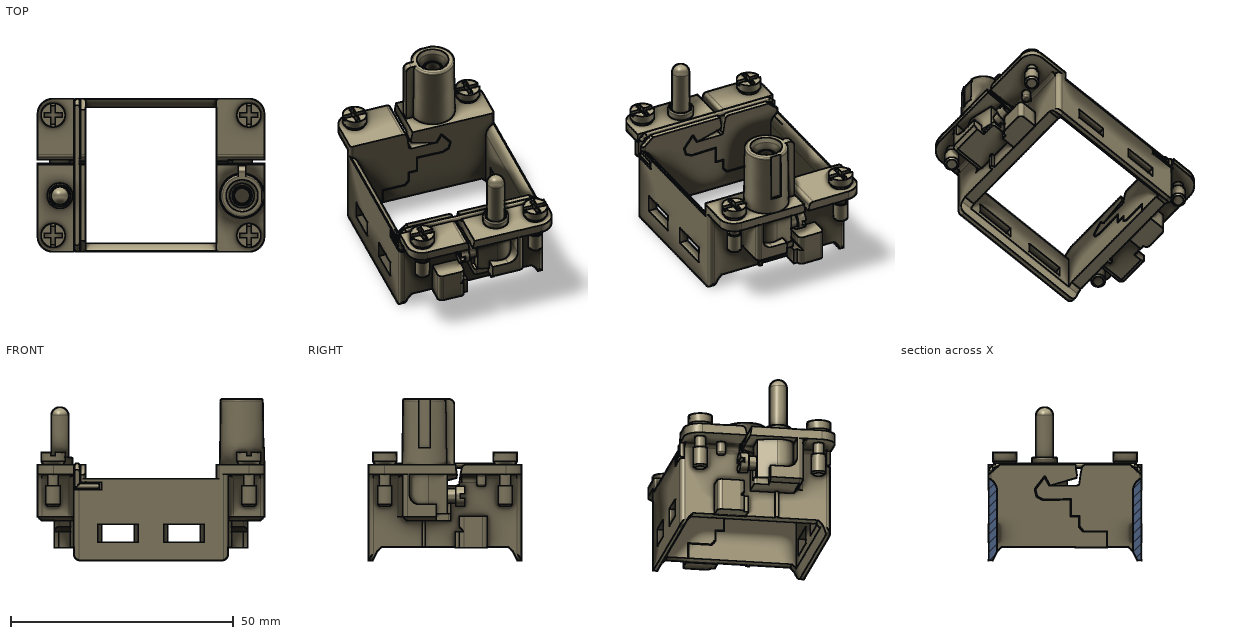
import cadquery as cq
import math

LENGTH = 51.0
WIDTH = 34.4
TOTAL_HEIGHT = 36.3
FRAME_LENGTH = 34.7
OPENING_LENGTH = 29.4
FLANGE_TOP = 21.5
FLANGE_THICKNESS = 2.1
SIDE_WALL_TOP = 18.4
SIDE_WALL_THICKNESS = 2.0
SIDE_WALL_FOOT = 0.95
FOOT_TAPER_HEIGHT = 2.05
ROLL_HEIGHT = 2.75
RIM_THICKNESS = 0.2
END_WALL_BOTTOM = 3.0
END_WALL_HALF_SPAN = 14.3
FRAME_CORNER_RADIUS = 1.05
FRAME_BOTTOM_RADIUS = 1.55
FLANGE_CORNER_RADIUS = 3.55
FLANGE_INNER_RADIUS = 0.55

END_FACE = LENGTH / 2
SIDE_FACE = WIDTH / 2
WALL_FACE = FRAME_LENGTH / 2
INNER_FACE = OPENING_LENGTH / 2
FLANGE_BOTTOM = FLANGE_TOP - FLANGE_THICKNESS
CLEAR = 5.1

WINDOW_X = 7.4
FRONT_WINDOW_LENGTH = 9.15
BACK_WINDOW_LENGTH = 7.25
WINDOW_BOTTOM = 4.15
WINDOW_TOP = 8.1

BODY_FRONT = -9.55
BODY_BACK = 0.55
BODY_BOTTOM = 9.0
BODY_CORNER_RADIUS = 1.0
BODY_CHAMFER = 0.9
POCKET_FRONT = -8.0
POCKET_FLOOR = 12.6
POCKET_FLOOR_RADIUS = 2.35
POCKET_STEP_Y = -2.0
POCKET_STEP_FLOOR = 10.5
BARREL_RADIUS = 3.4
BARREL_TANGENT_ANGLE = 14.7
FOOT_BACK = 1.3
FOOT_ROUND = 0.5
FOOT_TOP = 14.5

RIB_FRONT = -5.1
RIB_THICKNESS = 0.7
RIB_HEIGHT = 0.75

LATCH_REACH = 21.75
LATCH_FRONT = 3.2
LATCH_BACK = 9.45
LATCH_BOTTOM = 2.85
LATCH_TOP = 9.95
LATCH_CORNER_RADIUS = 1.0
LIP_FRONT = 2.3
NOTCH_TOP = 7.6
NOTCH_DEPTH = 0.9
NOTCH_HEIGHT = 1.05

GAP_FRONT = 2.35
GAP_ROUND_START = 4.7
GAP_ROUND_MID = (4.05, 21.25)
GAP_BACK_SIDE = [(3.7, 20.7), (3.45, FLANGE_BOTTOM), (3.15, 17.1), (2.65, 16.85)]
GAP_FRONT_SIDE = [(2.65, 18.55), (2.7, 19.3)]
GAP_TIP = (-3.45, 16.85)

SEAM_DIAMETER = 0.2
SEAM = [
    GAP_TIP,
    (-4.55, 18.85),
    (-6.75, 16.0),
    (-6.3, 14.4),
    (-4.9, 13.6),
    (FOOT_BACK, 13.75),
    (FOOT_BACK, LATCH_TOP),
    (LATCH_FRONT, LATCH_TOP),
    (LATCH_FRONT, NOTCH_TOP),
    (LATCH_FRONT + NOTCH_DEPTH, NOTCH_TOP - NOTCH_HEIGHT),
    (LATCH_BACK, NOTCH_TOP - NOTCH_HEIGHT),
    (LATCH_BACK, END_WALL_BOTTOM),
]

BEND_RADIUS = 0.85
FOOT_BEND_RADIUS = 1.05
GUSSET_RADIUS = 1.9
GUSSET_FRONT = 3.7
PEG_DIAMETER = 2.0
PEG_X = 18.85
PEG_Y = 8.15
PEG_BOTTOM = 16.7
PEG_ROUND = 0.5

SCREW_X = 22.0
SCREW_Y = 13.5
SCREW_TOP = 24.3
HEAD_DIAMETER = 5.4
HEAD_BASE_DIAMETER = 4.5
HEAD_BOTTOM = 22.35
NECK_DIAMETER = 2.4
THREAD_DIAMETER = 3.2
THREAD_TOP = 16.8
THREAD_BOTTOM = 12.25
THREAD_CHAMFER = 0.4
SLOT_WIDTH = 0.95
SLOT_DEPTH = 0.7
CROSS_LENGTH = 4.1
CROSS_DEPTH = 1.2

CLAMP_X = 20.5
CLAMP_Z = 14.5
CLAMP_HEAD_DIAMETER = 4.5
CLAMP_HEAD_FRONT = 2.45
CLAMP_HEAD_BACK = 4.4
CLAMP_SLOT_DEPTH = 0.9

GUIDE_X = 20.45
GUIDE_Y = -4.6
PIN_DIAMETER = 4.0
PIN_TOP = 34.5
DOME_HEIGHT = 1.8
COLLAR_DIAMETER = 5.7
COLLAR_TOP = 23.15
COLLAR_FILLET = 0.3
COLLAR_RECESS_DIAMETER = 4.8
COLLAR_RECESS_DEPTH = 0.4

SOCKET_BASE_RADIUS = 5.05
SOCKET_TOP_RADIUS = 4.85
SOCKET_RIM_FILLET = 0.4
MOUTH_RADIUS = 3.55
MOUTH_DEPTH = 0.95
BORE_TOP_RADIUS = 3.15
BORE_BOTTOM_RADIUS = 2.75
BORE_DEPTH = 4.1
SLEEVE_RADIUS = 2.25
SLEEVE_CHAMFER = 0.2
SLEEVE_DEPTH = 2.25
HOLE_RADIUS = 1.75
HOLE_FLOOR = 24.5
FLAT_DEPTH = 0.6
FLAT_WIDTH = 2.5
FLAT_BOTTOM = 25.35
KEY_WIDTH = 1.7
KEY_BACK = 2.1
KEY_FILLET = 1.3

WIRE_DIAMETER = 1.1
WIRE_X = -16.6
WIRE_TOP = 21.9
WIRE_LEG_Z = 16.75
WIRE_LEG_END = -11.65
WIRE_SLOT_END = -11.05
WIRE_SLOT_WIDTH = 1.75
WIRE_BEVEL = 1.1
GROOVE_WIDTH = 1.55
RELIEF_LENGTH = 2.55
RELIEF_DEPTH = 2.25
WIRE_BITE = 0.15

WIRE_RADIUS = WIRE_DIAMETER / 2
WIRE_Y = SIDE_FACE - WIRE_RADIUS
WIRE_Z = WIRE_TOP - WIRE_RADIUS


def box(x0, x1, y0, y1, z0, z1):
    """Axis-aligned block between two opposite corners."""
    return cq.Workplane("XY").box(x1 - x0, y1 - y0, z1 - z0, centered=False).translate((x0, y0, z0))


def rod(start, end, diameter):
    """Round bar between two points."""
    axis = cq.Vector(*end) - cq.Vector(*start)
    return cq.Workplane(obj=cq.Solid.makeCylinder(diameter / 2, axis.Length, cq.Vector(*start), axis))


def both_ends(shape):
    """The shape on the -X end together with its mirror image on the +X end."""
    return shape.union(shape.mirror("YZ"))


def frame():
    ring = box(-WALL_FACE, WALL_FACE, -SIDE_FACE, SIDE_FACE, 0, FLANGE_TOP)
    ring = ring.edges("|Y and <Z").fillet(FRAME_BOTTOM_RADIUS)
    rounded = box(-WALL_FACE, WALL_FACE, -SIDE_FACE, SIDE_FACE, 0, FLANGE_TOP)
    ring = ring.intersect(rounded.edges("|Z").fillet(FRAME_CORNER_RADIUS))

    foot_y = SIDE_FACE - SIDE_WALL_FOOT
    wall_y = SIDE_FACE - SIDE_WALL_THICKNESS
    rim_y = SIDE_FACE - RIM_THICKNESS
    roll_width = rim_y - wall_y
    roll_radius = (roll_width**2 + ROLL_HEIGHT**2) / (2 * roll_width)
    roll_start = SIDE_WALL_TOP - ROLL_HEIGHT
    half_turn = math.asin(ROLL_HEIGHT / roll_radius) / 2
    roll_mid_y = wall_y + roll_radius * (1 - math.cos(half_turn))
    roll_mid_z = roll_start + roll_radius * math.sin(half_turn)
    opening = (
        cq.Workplane("YZ")
        .lineTo(foot_y, 0)
        .lineTo(wall_y, FOOT_TAPER_HEIGHT)
        .lineTo(wall_y, roll_start)
        .threePointArc((roll_mid_y, roll_mid_z), (rim_y, SIDE_WALL_TOP))
        .lineTo(SIDE_FACE + CLEAR, SIDE_WALL_TOP)
        .lineTo(SIDE_FACE + CLEAR, FLANGE_TOP + CLEAR)
        .lineTo(0, FLANGE_TOP + CLEAR)
        .close()
        .extrude(INNER_FACE, both=True)
    )
    underside = (
        cq.Workplane("YZ")
        .lineTo(foot_y, 0)
        .lineTo(wall_y, FOOT_TAPER_HEIGHT)
        .lineTo(END_WALL_HALF_SPAN, END_WALL_BOTTOM)
        .lineTo(0, END_WALL_BOTTOM)
        .close()
        .extrude(LENGTH, both=True)
    )
    for cutter in (opening, underside):
        ring = ring.cut(cutter).cut(cutter.mirror("XZ"))
    return ring


def windows():
    """Two rectangular windows in each side wall, the longer pair in the -Y wall."""
    half_front = FRONT_WINDOW_LENGTH / 2
    half_back = BACK_WINDOW_LENGTH / 2
    front = box(-half_front, half_front, -WIDTH, 0, WINDOW_BOTTOM, WINDOW_TOP)
    back = box(-half_back, half_back, 0, WIDTH, WINDOW_BOTTOM, WINDOW_TOP)
    return both_ends(front.union(back).translate((-WINDOW_X, 0, 0)))


def flange():
    plate = box(-END_FACE, -INNER_FACE, -SIDE_FACE, SIDE_FACE, FLANGE_BOTTOM, FLANGE_TOP)
    return plate.edges("|Z and <X").fillet(FLANGE_CORNER_RADIUS)


def bend(radius, length):
    """Concave fillet strip along +Y, in the corner below and beside the origin on its -X side."""
    reach = radius * (1 - math.sqrt(0.5))
    return (
        cq.Workplane("XZ")
        .lineTo(-radius, 0)
        .threePointArc((-reach, -reach), (0, -radius))
        .close()
        .extrude(-length)
    )


def wall_bend(radius, y0, y1):
    """Fillet strip between the flange underside and the end wall."""
    return bend(radius, y1 - y0).translate((-WALL_FACE, y0, FLANGE_BOTTOM))


def corner_relief():
    """Waste outside the rounded inner corners of the flanges, above the side walls."""
    x0 = -INNER_FACE - FLANGE_INNER_RADIUS
    y1 = -SIDE_FACE + FLANGE_INNER_RADIUS
    waste = box(x0, -INNER_FACE, -SIDE_FACE, y1, SIDE_WALL_TOP, FLANGE_TOP)
    waste = waste.cut(rod((x0, y1, SIDE_WALL_TOP), (x0, y1, FLANGE_TOP), 2 * FLANGE_INNER_RADIUS))
    pair = both_ends(waste)
    return pair.union(pair.mirror("XZ"))


def flange_gap():
    """Split across the flange that narrows to a wedge inside the end wall."""
    outline = (
        cq.Workplane("YZ")
        .moveTo(GAP_FRONT, FLANGE_TOP)
        .lineTo(GAP_ROUND_START, FLANGE_TOP)
        .threePointArc(GAP_ROUND_MID, GAP_BACK_SIDE[0])
    )
    for corner in GAP_BACK_SIDE[1:] + [GAP_TIP] + GAP_FRONT_SIDE:
        outline = outline.lineTo(*corner)
    outline = outline.close()
    return outline.extrude(LENGTH, both=True)


def seam():
    """Fine groove tracing the seam on the inner face of the end wall."""
    grooves = cq.Workplane("XY")
    for (y0, z0), (y1, z1) in zip(SEAM, SEAM[1:]):
        grooves = grooves.add(rod((-INNER_FACE, y0, z0), (-INNER_FACE, y1, z1), SEAM_DIAMETER))
    return grooves.combine()


def body():
    """Housing under the flange whose pocket, open to the outer end and to +Y, bares a round barrel."""
    block = box(-END_FACE, -WALL_FACE, BODY_FRONT, BODY_BACK, BODY_BOTTOM, FLANGE_BOTTOM)
    block = block.edges("|Z and <X and <Y").fillet(BODY_CORNER_RADIUS)
    block = block.faces("<Z").edges("<X or <Y").chamfer(BODY_CHAMFER)

    pocket = box(-END_FACE, -GUIDE_X, POCKET_FRONT, BODY_BACK, POCKET_FLOOR, FLANGE_BOTTOM)
    pocket = pocket.edges("|X and <Y and <Z").fillet(POCKET_FLOOR_RADIUS)
    pocket = pocket.union(box(-END_FACE, -GUIDE_X, POCKET_STEP_Y, BODY_BACK, 0, FLANGE_BOTTOM))

    angle = math.radians(BARREL_TANGENT_ANGLE)
    tangent_x = -GUIDE_X - BARREL_RADIUS * math.cos(angle)
    tangent_y = GUIDE_Y + BARREL_RADIUS * math.sin(angle)
    plane_end_x = tangent_x + (BODY_BACK - tangent_y) * math.tan(angle)
    core_outline = [
        (-GUIDE_X, GUIDE_Y),
        (tangent_x, tangent_y),
        (plane_end_x, BODY_BACK),
        (-WALL_FACE, BODY_BACK),
        (-WALL_FACE, GUIDE_Y),
    ]
    core_height = FLANGE_BOTTOM - POCKET_STEP_FLOOR
    core = cq.Workplane("XY").polyline(core_outline).close().extrude(core_height)
    barrel = cq.Workplane("XY").center(-GUIDE_X, GUIDE_Y).circle(BARREL_RADIUS).extrude(core_height)
    core = core.union(barrel).translate((0, 0, POCKET_STEP_FLOOR))
    room = box(-END_FACE, -WALL_FACE, POCKET_FRONT, BODY_BACK, POCKET_STEP_FLOOR, FLANGE_BOTTOM)

    foot = box(plane_end_x, -WALL_FACE, POCKET_STEP_Y, FOOT_BACK, BODY_BOTTOM, POCKET_STEP_FLOOR)
    plate = box(-GUIDE_X, -WALL_FACE, POCKET_STEP_Y, FOOT_BACK, BODY_BOTTOM, FOOT_TOP)
    foot = foot.union(plate).edges("|Z and >Y and <X").fillet(FOOT_ROUND)
    rib_back = RIB_FRONT + RIB_THICKNESS
    rib = box(-WALL_FACE - RIB_HEIGHT, -WALL_FACE, RIB_FRONT, rib_back, END_WALL_BOTTOM, BODY_BOTTOM)

    side_bend = bend(FOOT_BEND_RADIUS, FLANGE_BOTTOM - BODY_BOTTOM - BODY_CHAMFER)
    side_bend = side_bend.rotate((0, 0, 0), (1, 0, 0), -90).translate((-WALL_FACE, BODY_FRONT, FLANGE_BOTTOM))
    top_bend = bend(BEND_RADIUS, END_FACE - WALL_FACE - BODY_CORNER_RADIUS)
    top_bend = top_bend.rotate((0, 0, 0), (0, 0, 1), 90).translate((-WALL_FACE, BODY_FRONT, FLANGE_BOTTOM))

    housing = block.cut(pocket).union(core.intersect(room))
    for part in (foot, rib, side_bend, top_bend):
        housing = housing.union(part)
    return housing


def latch():
    """Latch block with a slanted notch above its lower lip."""
    block = box(-LATCH_REACH, -WALL_FACE, LATCH_FRONT, LATCH_BACK, LATCH_BOTTOM, LATCH_TOP)
    block = block.edges("|Z and <X").fillet(LATCH_CORNER_RADIUS)
    lip_x = LATCH_CORNER_RADIUS - LATCH_REACH
    lip_back = LATCH_FRONT + LATCH_CORNER_RADIUS
    block = block.union(box(lip_x, -WALL_FACE, LIP_FRONT, lip_back, LATCH_BOTTOM, NOTCH_TOP))
    notch_bottom = NOTCH_TOP - NOTCH_HEIGHT
    notch = (
        cq.Workplane("YZ")
        .moveTo(LIP_FRONT, notch_bottom)
        .lineTo(LATCH_FRONT + NOTCH_DEPTH, notch_bottom)
        .lineTo(LATCH_FRONT, NOTCH_TOP)
        .lineTo(LIP_FRONT, NOTCH_TOP)
        .close()
        .extrude(-LENGTH)
    )
    return block.cut(notch)


def peg():
    pin = rod((-PEG_X, PEG_Y, PEG_BOTTOM), (-PEG_X, PEG_Y, FLANGE_BOTTOM), PEG_DIAMETER)
    return pin.faces("<Z").fillet(PEG_ROUND)


def clamp_screw():
    back = (-CLAMP_X, CLAMP_HEAD_BACK, CLAMP_Z)
    shank = rod((-CLAMP_X, GUIDE_Y, CLAMP_Z), back, THREAD_DIAMETER)
    head = rod((-CLAMP_X, CLAMP_HEAD_FRONT, CLAMP_Z), back, CLAMP_HEAD_DIAMETER)
    slot_bottom = CLAMP_Z - SLOT_WIDTH / 2
    slot_front = CLAMP_HEAD_BACK - CLAMP_SLOT_DEPTH
    slot = box(-LENGTH, 0, slot_front, CLAMP_HEAD_BACK, slot_bottom, slot_bottom + SLOT_WIDTH)
    return shank.union(head).cut(slot)


def corner_screw():
    """Slotted cross-recess screw standing through the flange, axis at the origin."""
    profile = [
        (0, THREAD_BOTTOM),
        (THREAD_DIAMETER / 2 - THREAD_CHAMFER, THREAD_BOTTOM),
        (THREAD_DIAMETER / 2, THREAD_BOTTOM + THREAD_CHAMFER),
        (THREAD_DIAMETER / 2, THREAD_TOP),
        (NECK_DIAMETER / 2, THREAD_TOP),
        (NECK_DIAMETER / 2, FLANGE_TOP),
        (HEAD_BASE_DIAMETER / 2, FLANGE_TOP),
        (HEAD_DIAMETER / 2, HEAD_BOTTOM),
        (HEAD_DIAMETER / 2, SCREW_TOP),
        (0, SCREW_TOP),
    ]
    screw = cq.Workplane("XZ").polyline(profile).close().revolve(360, (0, 0), (0, 1))
    half_slot = SLOT_WIDTH / 2
    half_cross = CROSS_LENGTH / 2
    slot = box(-half_slot, half_slot, -HEAD_DIAMETER, HEAD_DIAMETER, SCREW_TOP - SLOT_DEPTH, SCREW_TOP)
    cross_bottom = SCREW_TOP - CROSS_DEPTH
    cross_x = box(-half_cross, half_cross, -half_slot, half_slot, cross_bottom, SCREW_TOP)
    cross_y = box(-half_slot, half_slot, -half_cross, half_cross, cross_bottom, SCREW_TOP)
    center = cq.Workplane("XY").rect(2 * half_slot, 2 * half_slot).extrude(CROSS_DEPTH)
    center = center.rotate((0, 0, 0), (0, 0, 1), 45).translate((0, 0, cross_bottom))
    return screw.cut(slot).cut(cross_x).cut(cross_y).cut(center)


def guide_pin():
    radius = PIN_DIAMETER / 2
    shoulder = PIN_TOP - DOME_HEIGHT
    dome_radius = (radius**2 + DOME_HEIGHT**2) / (2 * DOME_HEIGHT)
    dome_center = PIN_TOP - dome_radius
    mid_angle = (math.asin((shoulder - dome_center) / dome_radius) + math.pi / 2) / 2
    dome_mid = (dome_radius * math.cos(mid_angle), dome_center + dome_radius * math.sin(mid_angle))
    pin = (
        cq.Workplane("XZ")
        .moveTo(0, FLANGE_BOTTOM)
        .lineTo(radius, FLANGE_BOTTOM)
        .lineTo(radius, shoulder)
        .threePointArc(dome_mid, (0, PIN_TOP))
        .close()
        .revolve(360, (0, 0), (0, 1))
    )
    collar = cq.Workplane("XY").workplane(offset=FLANGE_TOP).circle(COLLAR_DIAMETER / 2)
    collar = collar.extrude(COLLAR_TOP - FLANGE_TOP).faces(">Z").edges().fillet(COLLAR_FILLET)
    recess = cq.Workplane("XY").workplane(offset=COLLAR_TOP - COLLAR_RECESS_DEPTH)
    collar = collar.cut(recess.circle(COLLAR_RECESS_DIAMETER / 2).extrude(COLLAR_RECESS_DEPTH))
    return collar.union(pin).translate((-GUIDE_X, GUIDE_Y, 0))


def guide_socket():
    """Tapered tower with a sleeve in its blind bore, a flat and a locating key on its +Y side."""
    tower = (
        cq.Workplane("XZ")
        .moveTo(0, FLANGE_TOP)
        .lineTo(SOCKET_BASE_RADIUS, FLANGE_TOP)
        .lineTo(SOCKET_TOP_RADIUS, TOTAL_HEIGHT)
        .lineTo(0, TOTAL_HEIGHT)
        .close()
        .revolve(360, (0, 0), (0, 1))
        .faces(">Z")
        .edges()
        .fillet(SOCKET_RIM_FILLET)
    )
    key_length = KEY_BACK - GUIDE_Y
    key = box(-KEY_WIDTH / 2, KEY_WIDTH / 2, 0, key_length, FLANGE_TOP, TOTAL_HEIGHT)
    key = key.edges("|X and >Y and >Z").fillet(KEY_FILLET)
    sleeve_top = TOTAL_HEIGHT - SLEEVE_DEPTH
    bore_profile = [
        (0, HOLE_FLOOR),
        (HOLE_RADIUS, HOLE_FLOOR),
        (HOLE_RADIUS, sleeve_top),
        (SLEEVE_RADIUS - SLEEVE_CHAMFER, sleeve_top),
        (SLEEVE_RADIUS, sleeve_top - SLEEVE_CHAMFER),
        (SLEEVE_RADIUS, TOTAL_HEIGHT - BORE_DEPTH),
        (BORE_BOTTOM_RADIUS, TOTAL_HEIGHT - BORE_DEPTH),
        (BORE_TOP_RADIUS, TOTAL_HEIGHT - MOUTH_DEPTH),
        (MOUTH_RADIUS, TOTAL_HEIGHT),
        (0, TOTAL_HEIGHT),
    ]
    bore = cq.Workplane("XZ").polyline(bore_profile).close().revolve(360, (0, 0), (0, 1))
    flat_x = SOCKET_BASE_RADIUS - FLAT_DEPTH
    flat = box(flat_x, LENGTH, -FLAT_WIDTH / 2, FLAT_WIDTH / 2, FLAT_BOTTOM, TOTAL_HEIGHT)
    tower = tower.cut(flat)
    return tower.union(key).cut(bore).translate((GUIDE_X, GUIDE_Y, 0))


def wire_grooves():
    """Channel over the flange, down both corners and along the side walls."""
    x0 = WIRE_X - GROOVE_WIDTH / 2
    x1 = WIRE_X + GROOVE_WIDTH / 2
    floor_y = WIRE_Y - WIRE_RADIUS + WIRE_BITE
    floor_z = WIRE_Z - WIRE_RADIUS + WIRE_BITE
    z0 = WIRE_LEG_Z - WIRE_SLOT_WIDTH / 2
    z1 = WIRE_LEG_Z + WIRE_SLOT_WIDTH / 2
    grooves = box(x0, x1, -SIDE_FACE, SIDE_FACE, floor_z, FLANGE_TOP)
    corner = box(x0, x1, floor_y, SIDE_FACE, z0, FLANGE_TOP)
    slot = box(x0, WIRE_SLOT_END, floor_y, SIDE_FACE, z0, z1)
    relief = (
        cq.Workplane("YZ")
        .moveTo(SIDE_FACE, FLANGE_TOP)
        .lineTo(SIDE_FACE - RELIEF_LENGTH, FLANGE_TOP)
        .lineTo(SIDE_FACE, FLANGE_TOP - RELIEF_DEPTH)
        .close()
        .extrude(-INNER_FACE - x1)
        .translate((x1, 0, 0))
    )
    for cutter in (corner, slot, relief):
        grooves = grooves.union(cutter).union(cutter.mirror("XZ"))
    return grooves


def wire():
    """Round wire bent in sharp mitres: two legs and a span over the flange with beveled corners."""
    path = cq.Workplane("XY").polyline(
        [
            (WIRE_LEG_END, -WIRE_Y, WIRE_LEG_Z),
            (WIRE_X, -WIRE_Y, WIRE_LEG_Z),
            (WIRE_X, -WIRE_Y, WIRE_Z - WIRE_BEVEL),
            (WIRE_X, WIRE_BEVEL - WIRE_Y, WIRE_Z),
            (WIRE_X, WIRE_Y - WIRE_BEVEL, WIRE_Z),
            (WIRE_X, WIRE_Y, WIRE_Z - WIRE_BEVEL),
            (WIRE_X, WIRE_Y, WIRE_LEG_Z),
            (WIRE_LEG_END, WIRE_Y, WIRE_LEG_Z),
        ]
    )
    section = cq.Workplane("YZ", origin=(WIRE_LEG_END, -WIRE_Y, WIRE_LEG_Z)).circle(WIRE_RADIUS)
    return section.sweep(path, transition="right")


bend_end = SIDE_FACE - FRAME_CORNER_RADIUS
flanges = flange().union(wall_bend(BEND_RADIUS, -bend_end, bend_end))
result = frame().cut(windows()).union(both_ends(flanges))
result = result.cut(corner_relief()).cut(flange_gap()).cut(wire_grooves()).cut(both_ends(seam()))

end_parts = body().union(latch()).union(wall_bend(GUSSET_RADIUS, GUSSET_FRONT, PEG_Y)).union(peg())
result = result.union(both_ends(end_parts)).union(both_ends(clamp_screw()))

for screw_x in (-SCREW_X, SCREW_X):
    for screw_y in (-SCREW_Y, SCREW_Y):
        result = result.union(corner_screw().translate((screw_x, screw_y, 0)))

result = result.union(guide_pin()).union(guide_socket()).union(wire())